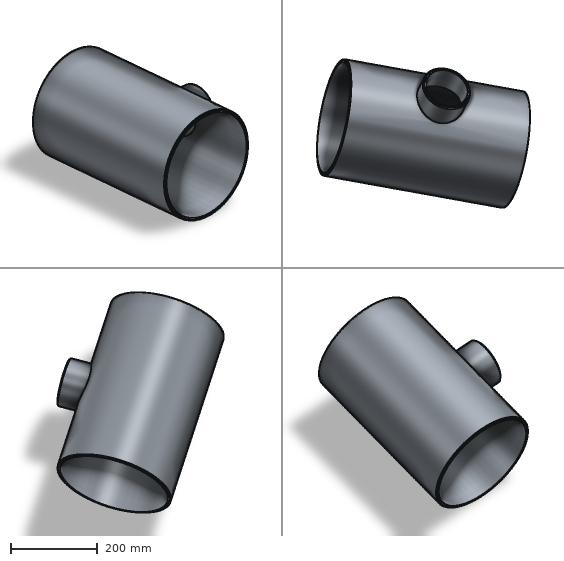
import cadquery as cq

run_length = 432.0
run_diameter = 273.0
run_wall = 7.5
run_bevel_depth = 3.0
run_bevel_length = 1.7

branch_reach = 184.5
branch_diameter = 114.5
branch_wall = 7.5
branch_bevel = 3.0


def main_pipe_body():
    """Solid main cylinder with a bevel around each end."""
    body = cq.Workplane("YZ").circle(run_diameter / 2).extrude(run_length / 2, both=True)
    return body.faces("<X or >X").chamfer(run_bevel_length, run_bevel_depth)


def branch_body():
    """Solid branch cylinder from the main axis, bevelled at its open end."""
    body = cq.Workplane("XZ").circle(branch_diameter / 2).extrude(-branch_reach)
    return body.faces(">Y").chamfer(branch_bevel)


def main_bore():
    return cq.Workplane("YZ").circle(run_diameter / 2 - run_wall).extrude(run_length / 2, both=True)


def branch_bore():
    """Bore from the main axis out through the branch end."""
    return cq.Workplane("XZ").circle(branch_diameter / 2 - branch_wall).extrude(-branch_reach)


result = main_pipe_body().union(branch_body()).cut(main_bore()).cut(branch_bore())